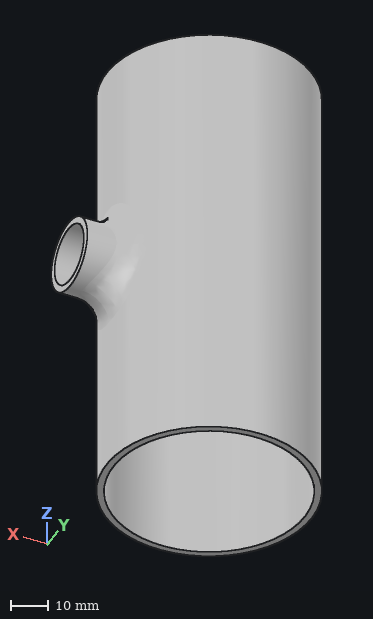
import cadquery as cq

tube_length = 128.0
tube_diameter = 60.3
wall = 2.0

branch_diameter = 21.2
branch_reach = 42.0
blend_radius = 8.0

tube_bore = tube_diameter - 2 * wall
branch_bore = branch_diameter - 2 * wall


def upright_cylinder(diameter):
    return cq.Workplane("XY").circle(diameter / 2).extrude(tube_length / 2, both=True)


def branch_cylinder(diameter):
    return cq.Workplane("YZ").circle(diameter / 2).extrude(branch_reach)


def blended_outside():
    """Solid tee with a concave blend where the branch leaves the tube."""
    body = upright_cylinder(tube_diameter).union(branch_cylinder(branch_diameter))
    junction_zone = cq.selectors.BoxSelector(
        (0, -branch_diameter / 2, -branch_diameter / 2),
        (tube_diameter / 2, branch_diameter / 2, branch_diameter / 2),
    )
    return body.edges(junction_zone).fillet(blend_radius)


result = (
    blended_outside()
    .cut(upright_cylinder(tube_bore))
    .cut(branch_cylinder(branch_bore))
)